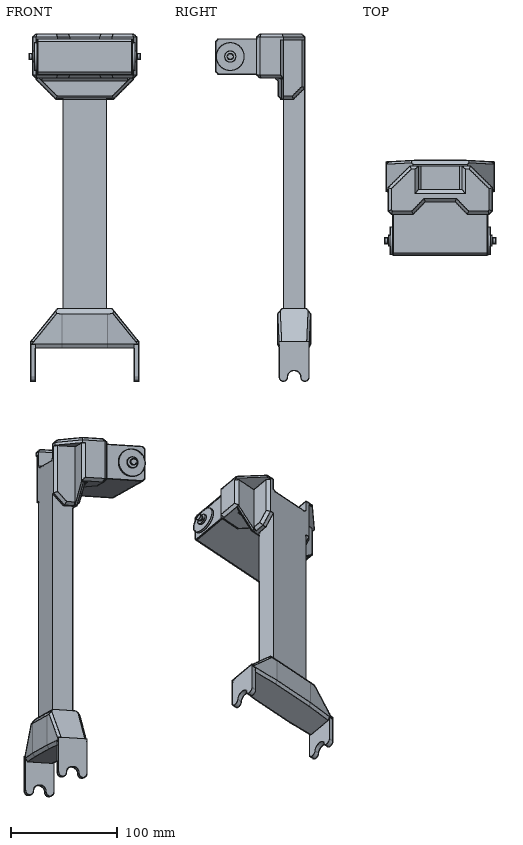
import cadquery as cq

height = 324.8
clearance = 3.2

column_half_width = 20.5
column_half_depth = 10.0

bevel = 3.0
hood_half_width = 48.7
hood_front = -35.0
hood_back = column_half_depth
hood_bottom = 283.5
slant_half_width = 28.3
slant_front = -column_half_depth
relief_half_width = 25.3
relief_floor_half_width = 14.0
relief_floor = -23.5

roof_underside = 319.3
core_back_cut = 10.7

collar_bottom = 263.8
collar_front = -15.0
collar_half_width = 27.0
collar_top_half_width = hood_half_width - bevel
collar_taper_top = collar_bottom + collar_top_half_width - collar_half_width

pocket_half_width = 20.5
pocket_front = -12.0
pocket_mouth_front = -15.5
pocket_floor = 306.3
pocket_floor_bevel = 2.3

box_half_width = 44.8
box_front = -73.5
box_bottom = 287.0
box_top = 320.3
box_front_bevel = 2.3
end_plate_thickness = 1.0
end_plate_inset = 0.3

pivot_y = -59.8
pivot_z = (box_bottom + box_top) / 2
pivot_steps = [(13.0, 46.8), (5.2, 48.5), (2.3, 49.5), (3.0, 52.0)]

foot_top = 68.2
foot_bottom = 31.2
foot_half_depth = 15.5
foot_top_half_width = 25.3
foot_half_width = 50.7
foot_flat_half_width = 21.0
shoulder_height = 37.0
foot_top_bevel = 4.2
foot_top_bevel_height = 5.2
foot_slope_bevel = 2.3
foot_bottom_bevel = 2.0
foot_bottom_bevel_height = 3.5

leg_half_depth = 14.0
leg_thickness = 4.5
tip_radius = 4.0
fork_radius = leg_half_depth - 2 * tip_radius


def mirrored(points):
    """Close a symmetric outline by reflecting its points, given in order, to the other side."""
    return points + [(-across, along) for across, along in reversed(points)]


def prism(plane, points, start, end):
    """Solid with the given outline, swept along the plane normal from start to end."""
    return cq.Workplane(plane).workplane(offset=start).polyline(points).close().extrude(end - start)


def block(half_width, y_min, y_max, z_min, z_max):
    """Rectangular block centred on X = 0."""
    outline = mirrored([(half_width, y_min), (half_width, y_max)])
    return prism("XY", outline, z_min, z_max)


def both_sides(solid):
    """The solid together with its mirror image across X = 0."""
    return solid.union(solid.mirror("YZ"))


def make_hood():
    """Hood with slanted back corners, a relief in its front and an open space under the roof."""
    plan = mirrored([
        (slant_half_width, hood_back),
        (hood_half_width, slant_front),
        (hood_half_width, hood_front),
        (relief_half_width, hood_front),
        (relief_floor_half_width, relief_floor),
    ])
    hood = prism("XY", plan, hood_bottom, height)
    hood = hood.edges("|Z").edges(">X or <X").edges("<Y").chamfer(bevel)
    hood = hood.faces(">Z or <Z").edges().chamfer(bevel)

    clear_back = hood_back + clearance
    clear_side = hood_half_width + clearance
    wall_back = slant_front - bevel
    opening = mirrored([
        (clear_side, clear_back),
        (clear_side, wall_back - clearance),
        (hood_half_width - bevel, slant_front),
    ])
    return hood.cut(prism("XY", opening, hood_bottom - clearance, roof_underside))


def make_core():
    """Block around the column, bevelled along the back and bottom edges of both sides."""
    profile = [
        (slant_front - bevel, collar_bottom),
        (hood_back - core_back_cut, collar_bottom),
        (hood_back, collar_bottom + core_back_cut),
        (hood_back, roof_underside),
        (slant_front - bevel, roof_underside),
    ]
    core = prism("YZ", profile, -collar_half_width, collar_half_width)
    exposed = cq.selectors.BoxSelector(
        (-height, slant_front, 0), (height, height, roof_underside - bevel)
    )
    return core.faces(">X or <X").edges(exposed).chamfer(bevel)


def make_collar():
    """Tapered plate below the hood, with a sloping gusset between its front and the hood."""
    outline = mirrored([
        (collar_half_width, collar_bottom),
        (collar_top_half_width, collar_taper_top),
        (collar_top_half_width, hood_bottom + bevel),
    ])
    collar = prism("XZ", outline, -slant_front, -collar_front)
    collar = collar.faces("<Y").edges("not >Z").chamfer(bevel)
    gusset = [
        (collar_front, hood_bottom - bevel),
        (collar_front - bevel, hood_bottom),
        (collar_front - bevel, hood_bottom + bevel),
        (collar_front, hood_bottom + bevel),
    ]
    gusset_half_width = collar_top_half_width - 2 * bevel
    return collar.union(prism("YZ", gusset, -gusset_half_width, gusset_half_width))


def make_pocket():
    """Cutter for the roof pocket: flared at the roof, bevelled along both sides of its floor."""
    section = mirrored([
        (pocket_half_width - pocket_floor_bevel, pocket_floor),
        (pocket_half_width, pocket_floor + pocket_floor_bevel),
        (pocket_half_width, height),
    ])
    pocket = prism("XZ", section, -hood_back, -pocket_front)
    mouth_bottom = height - bevel
    mouth = (
        cq.Workplane("XY", origin=(0, 0, mouth_bottom))
        .polyline(mirrored([(pocket_half_width, hood_back), (pocket_half_width, pocket_front)])).close()
        .workplane(offset=bevel)
        .polyline(mirrored([
            (pocket_half_width + bevel, hood_back),
            (pocket_half_width + bevel, pocket_mouth_front),
        ])).close()
        .loft(ruled=True)
    )
    return pocket.union(mouth)


def bevel_box_front(box):
    return box.faces("<Y").edges("|X").chamfer(box_front_bevel)


def make_box():
    """Box with bevelled front edges, closed by thin plates set in a little from its outline."""
    body_half_width = box_half_width - end_plate_thickness
    body = block(body_half_width, box_front, slant_front, box_bottom, box_top)
    plates = block(
        box_half_width, box_front + end_plate_inset, slant_front,
        box_bottom + end_plate_inset, box_top - end_plate_inset,
    )
    return bevel_box_front(body).union(bevel_box_front(plates))


def make_pivots():
    """Stepped round pivots on both ends of the box."""
    pivot = None
    inner_face = box_half_width - end_plate_thickness
    for radius, outer_face in pivot_steps:
        step = (
            cq.Workplane("YZ", origin=(inner_face, pivot_y, pivot_z))
            .circle(radius).extrude(outer_face - inner_face)
        )
        pivot = step if pivot is None else pivot.union(step)
        inner_face = outer_face
    return both_sides(pivot)


def foot_plan(inset):
    """Plan of the foot, thinning towards the legs, with its front and back moved in by the inset."""
    middle = foot_half_depth - inset
    end = leg_half_depth - inset
    return mirrored([
        (foot_flat_half_width, middle),
        (foot_half_width, end),
        (foot_half_width, -end),
        (foot_flat_half_width, -middle),
    ])


def make_foot():
    """Foot with bevelled top and sloping shoulders on a base that narrows downwards."""
    front_outline = mirrored([
        (foot_top_half_width, foot_top),
        (foot_half_width, shoulder_height),
        (foot_half_width, foot_bottom),
    ])
    side_outline = mirrored([
        (foot_half_depth - foot_top_bevel, foot_top),
        (foot_half_depth, foot_top - foot_top_bevel_height),
        (foot_half_depth, foot_bottom),
    ])
    bevel_top = foot_bottom + foot_bottom_bevel_height
    foot = prism("XY", foot_plan(0), bevel_top, foot_top)
    foot = foot.intersect(prism("XZ", front_outline, -foot_half_depth, foot_half_depth))
    slopes = cq.selectors.BoxSelector(
        (-height, -height, shoulder_height + clearance), (height, height, foot_top - clearance)
    )
    foot = foot.edges("not |Z").edges(slopes).edges("not |Y").chamfer(foot_slope_bevel)
    foot = foot.intersect(prism("YZ", side_outline, -foot_half_width, foot_half_width))
    base = (
        cq.Workplane("XY", origin=(0, 0, foot_bottom))
        .polyline(foot_plan(foot_bottom_bevel)).close()
        .workplane(offset=foot_bottom_bevel_height)
        .polyline(foot_plan(0)).close()
        .loft(ruled=True)
    )
    return foot.union(base)


def make_legs():
    """Plates with rounded fork tips either side of a round notch."""
    leg = (
        cq.Workplane("YZ", origin=(foot_half_width - leg_thickness, 0, 0))
        .moveTo(-leg_half_depth, shoulder_height)
        .lineTo(-leg_half_depth, tip_radius)
        .threePointArc((tip_radius - leg_half_depth, 0), (-fork_radius, tip_radius))
        .threePointArc((0, tip_radius + fork_radius), (fork_radius, tip_radius))
        .threePointArc((leg_half_depth - tip_radius, 0), (leg_half_depth, tip_radius))
        .lineTo(leg_half_depth, shoulder_height)
        .close()
        .extrude(leg_thickness)
    )
    return both_sides(leg)


column = block(column_half_width, -column_half_depth, column_half_depth, foot_bottom, pocket_floor)
head = make_hood().union(make_core()).union(make_collar()).union(make_box()).union(column)
head = head.cut(make_pocket())
result = head.union(make_pivots()).union(make_foot()).union(make_legs())